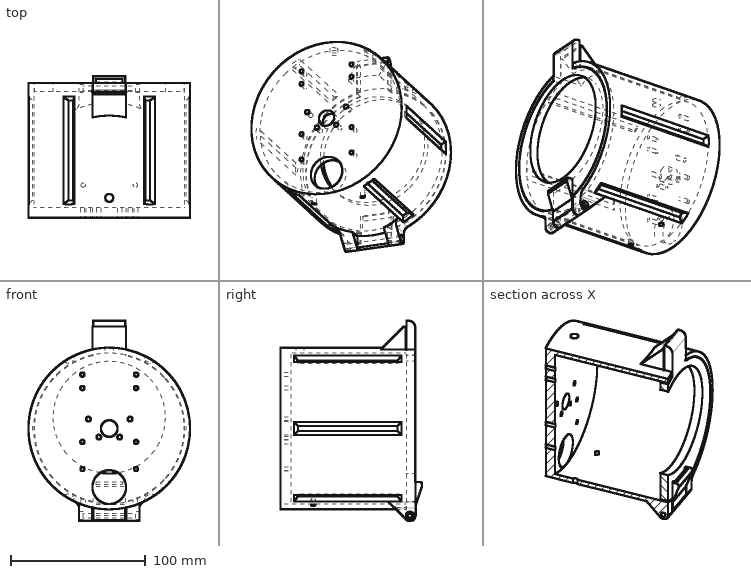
import cadquery as cq
import math

DRUM_RADIUS = 120.0 / 2
BORE_RADIUS = 112.0 / 2
DRUM_LENGTH = 100.0
END_WALL = 7.7

SHAFT_HOLE_DIAMETER = 12.2
PORT_DIAMETER = 25.0
PORT_Z = PORT_DIAMETER / 2 - BORE_RADIUS
MOUNT_HOLE_DIAMETER = 3.0
MOUNT_HOLE_X = 19.9
MOUNT_HOLE_HEIGHTS = (40.0, 30.0, -10.0, -30.0)
MOTOR_HOLE_DIAMETER = 3.3
MOTOR_HOLES = ((15.5, 7.0), (7.7, -6.4))

TOP_HOLE_DIAMETER = 6.0
TOP_HOLE_Y = 14.7
DRAIN_HOLE_DIAMETER = 3.3
DRAIN_HOLE_X = 19.3
DRAIN_HOLE_Y = 24.2

POCKET_COUNT = 6
POCKET_LENGTH = 80.0
POCKET_WIDTH = 10.0
POCKET_DEPTH = 3.0
POCKET_FRONT_Y = 10.0
POCKET_OVERCUT = 1.5

CLEARANCE = 0.5
LID_THICKNESS = 6.5
LID_RADIUS = BORE_RADIUS - CLEARANCE
NOTCH_WIDTH = 25.0
NOTCH_DEPTH = LID_THICKNESS + CLEARANCE
TAB_WIDTH = NOTCH_WIDTH - 2 * CLEARANCE
TAB_TOP_Z = 80.0
TAB_ROUNDING = 5.0
OPENING_RADIUS = 41.6
OPENING_BOTTOM_Z = -33.3

LATCH_TOP_Z = 75.8
LATCH_TOP_LENGTH = 1.5

PIN_Z = -64.7
KNUCKLE_RADIUS = 8.0 / 2
PIN_HOLE_DIAMETER = 3.3
PIN_Y = DRUM_LENGTH - KNUCKLE_RADIUS
PIN_HEAD_DIAMETER = 6.0
PIN_HEAD_DEPTH = 3.0
BRACKET_WIDTH = 10.0
BRACKET_OUTER_X = NOTCH_WIDTH / 2 + BRACKET_WIDTH
BRACKET_FILLET = 5.0

LEVER_TOP_Z = -39.5
LEVER_REACH = 5.0
LEVER_EDGE_Z = -42.8
LEVER_FOOT_Z = -56.5
LEVER_FOOT_REACH = 0.5
LEVER_ROUNDING = 1.8
LEVER_POCKET_WIDTH = 19.9
LEVER_POCKET_REACH = 2.8
LEVER_POCKET_DEPTH = 1.8


def y_cylinder(radius, y_start, y_end, x=0, z=0):
    """Cylinder along Y between two Y positions."""
    return cq.Workplane("XZ", origin=(x, y_start, z)).circle(radius).extrude(y_start - y_end)


def hinge_cylinder(diameter, x_start, x_end):
    """Cylinder on the hinge axis between two X positions."""
    return cq.Workplane("YZ", origin=(x_start, PIN_Y, PIN_Z)).circle(diameter / 2).extrude(x_end - x_start)


def box(width, y_start, y_end, z_start, z_end):
    """Box centred on X."""
    size = (width, y_end - y_start, z_end - z_start)
    return cq.Workplane().box(*size, centered=(True, False, False)).translate((0, y_start, z_start))


def side_profile(points, x_start, x_end):
    """Outline of (y, z) points, extruded along X."""
    return cq.Workplane("YZ", origin=(x_start, 0, 0)).polyline(points).close().extrude(x_end - x_start)


def end_wall_holes():
    """Shaft hole, port and screw holes through the closed end."""
    holes = y_cylinder(SHAFT_HOLE_DIAMETER / 2, 0, END_WALL)
    holes = holes.union(y_cylinder(PORT_DIAMETER / 2, 0, END_WALL, 0, PORT_Z))
    screws = [(MOUNT_HOLE_DIAMETER, MOUNT_HOLE_X, z) for z in MOUNT_HOLE_HEIGHTS]
    screws += [(MOTOR_HOLE_DIAMETER, x, z) for x, z in MOTOR_HOLES]
    for diameter, x, z in screws:
        for side in (-1, 1):
            holes = holes.union(y_cylinder(diameter / 2, 0, END_WALL, side * x, z))
    return holes


def grip_pocket(angle):
    """Pocket with sloping walls, sunk into the drum at an angle around Y."""
    pocket_end_y = POCKET_FRONT_Y + POCKET_LENGTH
    centre_y = (POCKET_FRONT_Y + pocket_end_y) / 2
    spread = 2 * (POCKET_DEPTH + POCKET_OVERCUT)
    floor_length = POCKET_LENGTH - 2 * POCKET_DEPTH
    floor_width = POCKET_WIDTH - 2 * POCKET_DEPTH
    pocket = (
        cq.Workplane("YZ", origin=(DRUM_RADIUS - POCKET_DEPTH, centre_y, 0))
        .rect(floor_length, floor_width)
        .workplane(offset=POCKET_DEPTH + POCKET_OVERCUT)
        .rect(floor_length + spread, floor_width + spread)
        .loft(ruled=True)
    )
    return pocket.rotate((0, 0, 0), (0, 1, 0), angle)


def latch_block():
    """Wedge on top of the drum, just in front of the lid tab."""
    back_y = DRUM_LENGTH - NOTCH_DEPTH
    edge_y = back_y - LATCH_TOP_LENGTH
    foot_z = BORE_RADIUS
    points = [
        (back_y, foot_z),
        (back_y, LATCH_TOP_Z),
        (edge_y, LATCH_TOP_Z),
        (edge_y - (LATCH_TOP_Z - foot_z), foot_z),
    ]
    wedge = side_profile(points, -NOTCH_WIDTH / 2, NOTCH_WIDTH / 2)
    return wedge.cut(y_cylinder(BORE_RADIUS, 0, DRUM_LENGTH))


def bracket_section():
    """Hinge block seen along Y, with fillets that run into the drum."""
    centre_x = BRACKET_OUTER_X + BRACKET_FILLET
    centre_distance = DRUM_RADIUS + BRACKET_FILLET
    centre_z = -math.sqrt(centre_distance**2 - centre_x**2)
    drum_share = DRUM_RADIUS / centre_distance
    touch = (centre_x * drum_share, centre_z * drum_share)
    middle_angle = (math.pi + math.atan2(-centre_z, -centre_x)) / 2
    middle = (
        centre_x + BRACKET_FILLET * math.cos(middle_angle),
        centre_z + BRACKET_FILLET * math.sin(middle_angle),
    )
    bottom_z = PIN_Z - KNUCKLE_RADIUS
    return (
        cq.Workplane("XZ")
        .moveTo(-BRACKET_OUTER_X, bottom_z)
        .lineTo(BRACKET_OUTER_X, bottom_z)
        .lineTo(BRACKET_OUTER_X, centre_z)
        .threePointArc(middle, touch)
        .lineTo(0, 0)
        .lineTo(-touch[0], touch[1])
        .threePointArc((-middle[0], middle[1]), (-BRACKET_OUTER_X, centre_z))
        .close()
        .extrude(-DRUM_LENGTH)
    )


def hinge_brackets():
    """Pair of brackets under the rim, rounded about the hinge pin."""
    diagonal = KNUCKLE_RADIUS * math.sqrt(0.5)
    slope_start = (PIN_Y - diagonal, PIN_Z - diagonal)
    reach = -slope_start[1]
    half_length = 2 * BRACKET_OUTER_X
    outline = (
        cq.Workplane("YZ", origin=(-half_length, 0, 0))
        .moveTo(*slope_start)
        .threePointArc((PIN_Y, PIN_Z - KNUCKLE_RADIUS), (DRUM_LENGTH, PIN_Z))
        .lineTo(DRUM_LENGTH, 0)
        .lineTo(slope_start[0] - reach, 0)
        .close()
        .extrude(2 * half_length)
    )
    brackets = bracket_section().intersect(outline)
    brackets = brackets.cut(y_cylinder(BORE_RADIUS, 0, DRUM_LENGTH))
    brackets = brackets.cut(box(NOTCH_WIDTH, 0, DRUM_LENGTH, 2 * PIN_Z, 0))
    brackets = brackets.cut(hinge_cylinder(PIN_HOLE_DIAMETER, -BRACKET_OUTER_X, BRACKET_OUTER_X))
    head_x = BRACKET_OUTER_X - PIN_HEAD_DEPTH
    brackets = brackets.cut(hinge_cylinder(PIN_HEAD_DIAMETER, -BRACKET_OUTER_X, -head_x))
    return brackets.cut(hinge_cylinder(PIN_HEAD_DIAMETER, head_x, BRACKET_OUTER_X))


def build_drum():
    """Drum with its latch block, hinge brackets, rim notches, pockets and holes."""
    drum = y_cylinder(DRUM_RADIUS, 0, DRUM_LENGTH)
    drum = drum.cut(y_cylinder(BORE_RADIUS, END_WALL, DRUM_LENGTH))
    drum = drum.cut(end_wall_holes())
    for index in range(POCKET_COUNT):
        drum = drum.cut(grip_pocket(index * 360 / POCKET_COUNT))
    drum = drum.union(latch_block()).union(hinge_brackets())
    notch_y = DRUM_LENGTH - NOTCH_DEPTH
    drum = drum.cut(box(NOTCH_WIDTH, notch_y, DRUM_LENGTH, -DRUM_RADIUS, DRUM_RADIUS))
    top_hole = cq.Workplane(origin=(0, TOP_HOLE_Y, 0)).circle(TOP_HOLE_DIAMETER / 2).extrude(DRUM_RADIUS)
    drain_holes = (
        cq.Workplane(origin=(0, DRAIN_HOLE_Y, 0))
        .pushPoints([(-DRAIN_HOLE_X, 0), (DRAIN_HOLE_X, 0)])
        .circle(DRAIN_HOLE_DIAMETER / 2)
        .extrude(-DRUM_RADIUS)
    )
    return drum.cut(top_hole).cut(drain_holes)


def finger_lever():
    """Sloping lever behind the lid, hollowed from above."""
    rim_y = DRUM_LENGTH
    lip_y = rim_y + LEVER_REACH
    points = [
        (rim_y - LID_THICKNESS, LEVER_TOP_Z),
        (lip_y, LEVER_TOP_Z),
        (lip_y, LEVER_EDGE_Z),
        (rim_y + LEVER_FOOT_REACH, LEVER_FOOT_Z),
        (rim_y + LEVER_FOOT_REACH, PIN_Z),
        (rim_y - LID_THICKNESS, PIN_Z),
    ]
    lever = side_profile(points, -TAB_WIDTH / 2, TAB_WIDTH / 2)
    lever = lever.edges(cq.selectors.NearestToPointSelector((0, lip_y, LEVER_TOP_Z))).fillet(LEVER_ROUNDING)
    pocket_points = [
        (rim_y, LEVER_TOP_Z),
        (rim_y + LEVER_POCKET_REACH, LEVER_TOP_Z),
        (rim_y, LEVER_TOP_Z - LEVER_POCKET_DEPTH),
    ]
    return lever.cut(side_profile(pocket_points, -LEVER_POCKET_WIDTH / 2, LEVER_POCKET_WIDTH / 2))


def build_lid():
    """Lid disc with a round opening, a top tab, a finger lever and a hinge knuckle."""
    inner_y = DRUM_LENGTH - LID_THICKNESS
    lid = y_cylinder(LID_RADIUS, inner_y, DRUM_LENGTH)
    tab = box(TAB_WIDTH, inner_y, DRUM_LENGTH, 0, TAB_TOP_Z)
    tab = tab.edges(">Y and >Z").fillet(TAB_ROUNDING)
    knuckle = hinge_cylinder(2 * KNUCKLE_RADIUS, -TAB_WIDTH / 2, TAB_WIDTH / 2)
    knuckle = knuckle.intersect(box(TAB_WIDTH, inner_y, DRUM_LENGTH, PIN_Z - KNUCKLE_RADIUS, 0))
    lid = lid.union(tab).union(finger_lever()).union(knuckle)
    opening_z = OPENING_BOTTOM_Z + OPENING_RADIUS
    lid = lid.cut(y_cylinder(OPENING_RADIUS, inner_y, DRUM_LENGTH, 0, opening_z))
    return lid.cut(hinge_cylinder(PIN_HOLE_DIAMETER, -TAB_WIDTH / 2, TAB_WIDTH / 2))


drum = build_drum()
lid = build_lid()

result = cq.Compound.makeCompound([drum.val(), lid.val()])